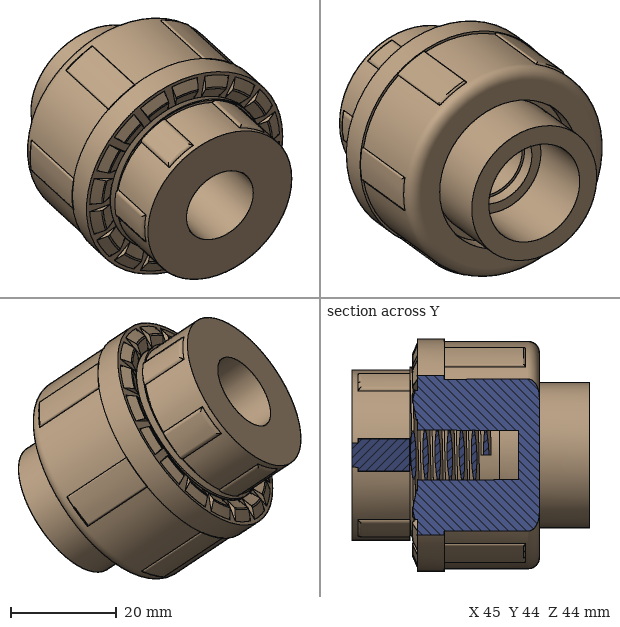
import cadquery as cq
import math


LENGTH = 45.0

TAIL_DIA = 27.5
TAIL_BORE_DIA = 16.0
SOCKET_DIA = 20.0
SOCKET_DEPTH = 14.4
FLANGE_DIA = 31.5
FLANGE_THICKNESS = 3.6

NUT_START = 9.5
NUT_DIA = 43.0
NUT_WALL = 4.0
NUT_OPENING_DIA = 30.35
NUT_EDGE_RADIUS = 2.15
COLLAR_DIA = 44.0
COLLAR_START = 27.5
COLLAR_END = 32.6
NUT_END = 33.5

TOOTH_OUTER_RADIUS = 21.3
TOOTH_TIP_OUTER_RADIUS = 19.15
TOOTH_TIP_INNER_RADIUS = 18.8
NOTCH_COUNT = 18
NOTCH_WIDTH = 1.7

BODY_DIA = 32.25
BODY_SHOULDER = 34.0
BODY_BORE_DIA = 15.0
THREAD_DIA = 33.25
THREAD_ROOT_DIA = 30.5
THREAD_PITCH = 2.3
THREAD_TURNS = 7
THREAD_LAST_CREST = 33.35
THREAD_FLANK_ANGLE = 27.5
THREAD_CREST_WIDTH = 0.45
THREAD_EMBED = 0.22

RIB_COUNT = 6
NUT_RIB_START = 12.15
NUT_RIB_DIA = 43.75
NUT_RIB_WIDTH = 6.85
NUT_RIB_ROUND = 0.4
BODY_RIB_DIA = 33.08
BODY_RIB_END = 44.0
BODY_RIB_WIDTH = 6.4
BODY_RIB_ROUND = 0.9
RIB_ROOT_DEPTH = 2.25

FLANGE_START = NUT_START + NUT_WALL
FLANGE_END = FLANGE_START + FLANGE_THICKNESS


def revolve_about_x(points):
    """Turn a closed (x, radius) outline about the X axis."""
    return cq.Workplane("XY").polyline(points).close().revolve(360, (0, 0, 0), (1, 0, 0))


def tube(start, end, outer_dia, inner_dia):
    return (
        cq.Workplane("YZ", origin=(start, 0, 0))
        .circle(outer_dia / 2)
        .circle(inner_dia / 2)
        .extrude(end - start)
    )


def add_ribs(body, start, end, round_edges, width, top_dia, rounding):
    """Add ribs around the X axis; round_edges selects the top edges to round."""
    top_radius = top_dia / 2
    root_radius = top_radius - RIB_ROOT_DEPTH
    half_width = width / 2
    shoulder_radius = math.sqrt(top_radius ** 2 - half_width ** 2)
    rib = (
        cq.Workplane("YZ", origin=(start, 0, 0))
        .moveTo(-root_radius, -half_width)
        .lineTo(-shoulder_radius, -half_width)
        .threePointArc((-top_radius, 0), (-shoulder_radius, half_width))
        .lineTo(-root_radius, half_width)
        .close()
        .extrude(end - start)
    )
    rib = rib.faces("<Y").edges(round_edges).fillet(rounding)
    for i in range(RIB_COUNT):
        body = body.union(rib.rotate((0, 0, 0), (1, 0, 0), i * 360 / RIB_COUNT))
    return body


def make_tailpiece():
    outline = [
        (0, SOCKET_DIA / 2),
        (0, TAIL_DIA / 2),
        (FLANGE_START, TAIL_DIA / 2),
        (FLANGE_START, FLANGE_DIA / 2),
        (FLANGE_END, FLANGE_DIA / 2),
        (FLANGE_END, TAIL_BORE_DIA / 2),
        (SOCKET_DEPTH, TAIL_BORE_DIA / 2),
        (SOCKET_DEPTH, SOCKET_DIA / 2),
    ]
    return revolve_about_x(outline)


def cut_notches(nut):
    """Cut the slots that divide the rim behind the collar into teeth."""
    notch = (
        cq.Workplane("XY", origin=(COLLAR_END, 0, 0))
        .rect(NUT_END - COLLAR_END, TOOTH_OUTER_RADIUS, centered=False)
        .extrude(NOTCH_WIDTH / 2, both=True)
    )
    for i in range(NOTCH_COUNT):
        nut = nut.cut(notch.rotate((0, 0, 0), (1, 0, 0), i * 360 / NOTCH_COUNT))
    return nut


def make_nut():
    outline = [
        (NUT_START, NUT_OPENING_DIA / 2),
        (NUT_START, NUT_DIA / 2),
        (COLLAR_START, NUT_DIA / 2),
        (COLLAR_START, COLLAR_DIA / 2),
        (COLLAR_END, COLLAR_DIA / 2),
        (COLLAR_END, TOOTH_OUTER_RADIUS),
        (NUT_END, TOOTH_TIP_OUTER_RADIUS),
        (NUT_END, TOOTH_TIP_INNER_RADIUS),
        (COLLAR_END, THREAD_DIA / 2),
        (FLANGE_START, THREAD_DIA / 2),
        (FLANGE_START, NUT_OPENING_DIA / 2),
    ]
    nut = revolve_about_x(outline)
    front_face = nut.faces("<X")
    nut = front_face.edges(cq.selectors.RadiusNthSelector(-1)).fillet(NUT_EDGE_RADIUS)
    nut = add_ribs(nut, NUT_RIB_START, COLLAR_START, "|X or <X", NUT_RIB_WIDTH, NUT_RIB_DIA, NUT_RIB_ROUND)
    return cut_notches(nut)


def make_thread_ridge():
    """A right-handed helical ridge around the body, cut off square at the shoulder."""
    root_radius = THREAD_ROOT_DIA / 2 - THREAD_EMBED
    crest_radius = THREAD_DIA / 2
    crest_half = THREAD_CREST_WIDTH / 2
    flank_run = (crest_radius - root_radius) * math.tan(math.radians(THREAD_FLANK_ANGLE))
    root_half = crest_half + flank_run

    helix = cq.Wire.makeHelix(THREAD_PITCH, THREAD_TURNS * THREAD_PITCH, root_radius)
    ridge = (
        cq.Workplane("XZ")
        .polyline([
            (root_radius, -root_half),
            (crest_radius, -crest_half),
            (crest_radius, crest_half),
            (root_radius, root_half),
        ])
        .close()
        .sweep(cq.Workplane(helix), isFrenet=True)
        .rotate((0, 0, 0), (1, 1, 1), 120)
        .translate((THREAD_LAST_CREST - (THREAD_TURNS - 1) * THREAD_PITCH, 0, 0))
    )
    return ridge.intersect(tube(FLANGE_END, BODY_SHOULDER, COLLAR_DIA, BODY_BORE_DIA))


def make_threaded_body():
    core = tube(FLANGE_END, BODY_SHOULDER, THREAD_ROOT_DIA, BODY_BORE_DIA)
    threaded = core.union(make_thread_ridge())
    end_piece = tube(BODY_SHOULDER, LENGTH, BODY_DIA, BODY_BORE_DIA)
    end_piece = add_ribs(
        end_piece, BODY_SHOULDER, BODY_RIB_END, "|X or >X", BODY_RIB_WIDTH, BODY_RIB_DIA, BODY_RIB_ROUND
    )
    return threaded.union(end_piece)


tailpiece = make_tailpiece()
nut = make_nut()
threaded_body = make_threaded_body()

result = cq.Compound.makeCompound([tailpiece.val(), *nut.solids().vals(), *threaded_body.solids().vals()])